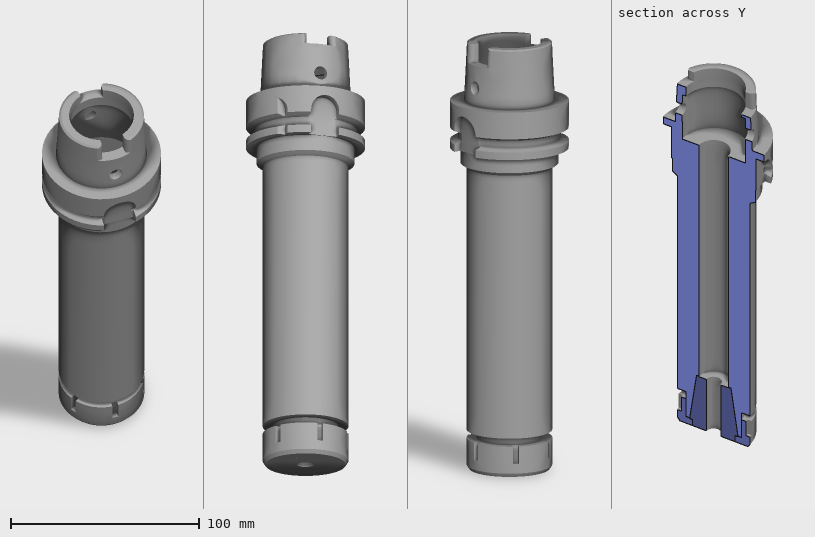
import cadquery as cq
import math

total_length = 232.0
nut_height = 16.7
body_bottom = 21.0
step_bottom = 164.0
step_top = 166.0
flange_bottom = 174.5
flange_top = 200.2
groove_middle = 182.1

body_radius = 22.7
neck_radius = 17.5
boss_radius = 26.0
flange_radius = 31.5
groove_radius = 27.4
groove_root_width = 4.0
groove_mouth_width = 7.2
taper_base_radius = 24.1
taper_top_radius = 22.5
rim_chamfer_width = 1.2
rim_chamfer_height = 0.7

mouth_radius = 17.2
mouth_depth = 12.3
undercut_radius = 19.5
clamping_depth = 41.8
tube_bore_radius = 9.0

drive_slot_width = 12.5
drive_slot_fillet = 2.3
shallow_slot_depth = 6.0
deep_slot_depth = 10.2
cross_hole_diameter = 7.2
cross_hole_z = 209.7
keyway_floor = 26.5
narrow_keyway_width = 15.8
wide_keyway_width = 17.9
keyway_top = 195.3
notch_floor = 21.0
notch_side = 19.3

nut_radius = body_radius
nut_floor = 4.5
nut_opening_radius = 13.0
nut_chamfer_width = 1.5
nut_chamfer_height = 2.0
wrench_slot_count = 6
wrench_slot_width = 3.2
wrench_slot_depth = 2.5
wrench_slot_bottom = 7.2

collet_top = 34.8
collet_large_radius = 14.8
collet_half_angle = 8.0
collet_bore_radius = 4.5
collet_small_radius = collet_large_radius - (collet_top - nut_floor) * math.tan(math.radians(collet_half_angle))


def revolve_profile(points):
    """Solid of revolution about Z from (radius, height) points."""
    return cq.Workplane("XZ").polyline(points).close().revolve(360, (0, 0, 0), (0, 1, 0))


def cylinder(radius, bottom, top):
    return cq.Workplane("XY").workplane(offset=bottom).circle(radius).extrude(top - bottom)


def holder_blank():
    """Outer form: threaded neck, long body, grooved flange and short taper."""
    root = groove_root_width / 2
    mouth = groove_mouth_width / 2
    return revolve_profile([
        (0, nut_floor),
        (neck_radius, nut_floor),
        (neck_radius, body_bottom),
        (body_radius, body_bottom),
        (body_radius, step_bottom),
        (boss_radius, step_top),
        (boss_radius, flange_bottom),
        (flange_radius, flange_bottom),
        (flange_radius, groove_middle - mouth),
        (groove_radius, groove_middle - root),
        (groove_radius, groove_middle + root),
        (flange_radius, groove_middle + mouth),
        (flange_radius, flange_top),
        (taper_base_radius, flange_top),
        (taper_top_radius, total_length),
        (0, total_length),
    ])


def clamping_bore():
    """Bore in the taper end: a mouth that widens into an undercut, with a flat floor."""
    undercut_top = total_length - mouth_depth
    floor = total_length - clamping_depth
    return revolve_profile([
        (0, floor),
        (undercut_radius, floor),
        (undercut_radius, undercut_top),
        (mouth_radius, undercut_top),
        (mouth_radius, total_length),
        (0, total_length),
    ])


def collet_cone():
    """Tapered envelope of the collet inside the holder."""
    return revolve_profile([
        (0, nut_floor),
        (collet_large_radius, nut_floor),
        (collet_small_radius, collet_top),
        (0, collet_top),
    ])


def drive_slot(side, depth):
    """Slot across the rim on the +X (side=1) or -X (side=-1) half."""
    return (
        cq.Workplane("XY").workplane(offset=total_length - depth)
        .center(side * flange_radius / 2, 0)
        .rect(flange_radius, drive_slot_width)
        .extrude(depth)
    )


def round_topped_slot(side, floor, middle_y, width):
    """Slot milled along X, open at the flange bottom, with a half-round top and a flat floor."""
    radius = width / 2
    arc_z = keyway_top - radius
    return (
        cq.Workplane("YZ").workplane(offset=side * floor)
        .moveTo(middle_y - radius, flange_bottom)
        .lineTo(middle_y - radius, arc_z)
        .threePointArc((middle_y, keyway_top), (middle_y + radius, arc_z))
        .lineTo(middle_y + radius, flange_bottom)
        .close()
        .extrude(side * flange_radius)
    )


def rim_chamfer():
    """Ring that bevels the outer edge of the taper end."""
    inner = taper_top_radius - rim_chamfer_width
    outer = taper_top_radius + rim_chamfer_width
    return revolve_profile([
        (inner, total_length),
        (outer, total_length - 2 * rim_chamfer_height),
        (outer, total_length),
    ])


def make_holder():
    holder = holder_blank().cut(clamping_bore())

    holder = holder.cut(drive_slot(-1, shallow_slot_depth)).cut(drive_slot(1, deep_slot_depth))
    half_slot = drive_slot_width / 2
    corner_x = math.sqrt(taper_top_radius ** 2 - half_slot ** 2)
    corner_z = total_length - shallow_slot_depth / 2
    for side in (-1, 1):
        for edge_side in (-1, 1):
            corner = cq.selectors.NearestToPointSelector((side * corner_x, edge_side * half_slot, corner_z))
            holder = holder.edges(corner).fillet(drive_slot_fillet)
    holder = holder.cut(rim_chamfer())

    cross_hole = (
        cq.Workplane("YZ").workplane(offset=-flange_radius)
        .center(0, cross_hole_z).circle(cross_hole_diameter / 2).extrude(2 * flange_radius)
    )
    holder = holder.cut(cross_hole)

    holder = holder.cut(round_topped_slot(-1, keyway_floor, 0, narrow_keyway_width))
    holder = holder.cut(round_topped_slot(1, keyway_floor, 0, wide_keyway_width))
    notch_middle = notch_side + narrow_keyway_width / 2
    holder = holder.cut(round_topped_slot(-1, notch_floor, notch_middle, narrow_keyway_width))

    holder = holder.cut(cylinder(tube_bore_radius, collet_top, total_length - clamping_depth))
    return holder.cut(collet_cone())


def make_nut():
    nut = revolve_profile([
        (nut_opening_radius, 0),
        (nut_radius - nut_chamfer_width, 0),
        (nut_radius, nut_chamfer_height),
        (nut_radius, nut_height),
        (neck_radius, nut_height),
        (neck_radius, nut_floor),
        (nut_opening_radius, nut_floor),
    ])
    for i in range(wrench_slot_count):
        slot = (
            cq.Workplane("XY").workplane(offset=wrench_slot_bottom)
            .center(nut_radius, 0).rect(2 * wrench_slot_depth, wrench_slot_width)
            .extrude(nut_height - wrench_slot_bottom)
            .rotate((0, 0, 0), (0, 0, 1), i * 360 / wrench_slot_count)
        )
        nut = nut.cut(slot)
    return nut


def make_collet():
    collet = collet_cone().union(cylinder(nut_opening_radius, 0, nut_floor))
    return collet.cut(cylinder(collet_bore_radius, 0, collet_top))


holder = make_holder()
nut = make_nut()
collet = make_collet()

result = cq.Compound.makeCompound([holder.val(), nut.val(), collet.val()])